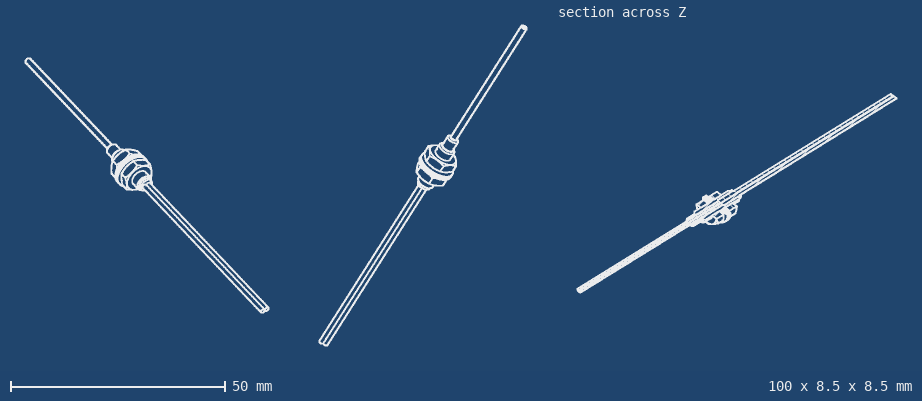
import cadquery as cq
import math

TOTAL_LENGTH = 100.0

COLLAR_START = 35.0
COLLAR_RADIUS = 1.4
COLLAR_CHAMFER = 0.4
BARREL_START = 38.0
BARREL_END = 49.4
BARREL_RADIUS = 2.0
FRONT_CHAMFER = 0.4
REAR_CHAMFER = 0.3
TAIL_END = 50.0
TAIL_RADIUS = 1.6

SLEEVE_RADIUS = 0.75
CORE_RADIUS = 0.3
CORE_OFFSET = 0.4

JACKET_RADIUS = 0.55
JACKET_OFFSET = JACKET_RADIUS
JACKET_START = 45.0

NUT_STARTS = (40.4, 44.6)
NUT_TURNS = (5.0, -5.0)
NUT_WIDTH = 7.0
NUT_THICKNESS = 2.4
NUT_CORNER_RADIUS = NUT_WIDTH / math.sqrt(3)
NUT_FACE_RADIUS = 3.4
NUT_CHAMFER_ANGLE = 30.0
NUT_CHAMFER = (NUT_CORNER_RADIUS - NUT_FACE_RADIUS) * math.tan(math.radians(NUT_CHAMFER_ANGLE))

WASHER_RADIUS = 4.25
WASHER_HOLE_RADIUS = 2.2
WASHER_DROP = WASHER_HOLE_RADIUS - BARREL_RADIUS
WASHER_THICKNESS = 0.4
WASHER_STARTS = (43.2, 43.9)


def rod(start, end, radius, offset=0.0):
    """Cylinder along X, with its axis shifted along Y."""
    return cq.Workplane("YZ", origin=(start, offset, 0)).circle(radius).extrude(end - start)


def turned(profile):
    """Solid of revolution about X from (x, radius) points."""
    return cq.Workplane("XZ").polyline(profile).close().revolve(360, (0, 0, 0), (1, 0, 0))


def make_housing():
    body = turned([
        (COLLAR_START, 0),
        (COLLAR_START, COLLAR_RADIUS - COLLAR_CHAMFER),
        (COLLAR_START + COLLAR_CHAMFER, COLLAR_RADIUS),
        (BARREL_START, COLLAR_RADIUS),
        (BARREL_START, BARREL_RADIUS - FRONT_CHAMFER),
        (BARREL_START + FRONT_CHAMFER, BARREL_RADIUS),
        (BARREL_END - REAR_CHAMFER, BARREL_RADIUS),
        (BARREL_END, BARREL_RADIUS - REAR_CHAMFER),
        (BARREL_END, TAIL_RADIUS),
        (TAIL_END, TAIL_RADIUS),
        (TAIL_END, 0),
    ])
    body = body.cut(rod(COLLAR_START, JACKET_START, SLEEVE_RADIUS))
    for side in (-1, 1):
        body = body.cut(rod(JACKET_START, TAIL_END, JACKET_RADIUS, side * JACKET_OFFSET))
    return body


def make_sleeve():
    sleeve = rod(0, JACKET_START, SLEEVE_RADIUS)
    for side in (-1, 1):
        sleeve = sleeve.cut(make_core(side))
    return sleeve


def make_core(side):
    return rod(0, JACKET_START, CORE_RADIUS, side * CORE_OFFSET)


def make_jacket(side):
    return rod(JACKET_START, TOTAL_LENGTH, JACKET_RADIUS, side * JACKET_OFFSET)


def make_nut(start, turn):
    """Hexagon with a corner up before turning, chamfered on both faces, bored to fit the barrel."""
    end = start + NUT_THICKNESS
    hexagon = (
        cq.Workplane("YZ", origin=(start, 0, 0))
        .polygon(6, 2 * NUT_CORNER_RADIUS)
        .extrude(NUT_THICKNESS)
        .rotate((0, 0, 0), (1, 0, 0), 90 - turn)
    )
    chamfer_envelope = turned([
        (start, 0),
        (start, NUT_FACE_RADIUS),
        (start + NUT_CHAMFER, NUT_CORNER_RADIUS),
        (end - NUT_CHAMFER, NUT_CORNER_RADIUS),
        (end, NUT_FACE_RADIUS),
        (end, 0),
    ])
    return hexagon.intersect(chamfer_envelope).cut(rod(start, end, BARREL_RADIUS))


def make_washer(start):
    end = start + WASHER_THICKNESS
    ring = rod(start, end, WASHER_RADIUS).cut(rod(start, end, WASHER_HOLE_RADIUS))
    return ring.translate((0, 0, -WASHER_DROP))


housing = make_housing()
sleeve = make_sleeve()
cores = [make_core(side).val() for side in (-1, 1)]
jackets = [make_jacket(side).val() for side in (-1, 1)]
nuts = [make_nut(start, turn).val() for start, turn in zip(NUT_STARTS, NUT_TURNS)]
washers = [make_washer(start).val() for start in WASHER_STARTS]

result = cq.Compound.makeCompound([
    housing.val(),
    sleeve.val(),
    *cores,
    *jackets,
    *nuts,
    *washers,
])